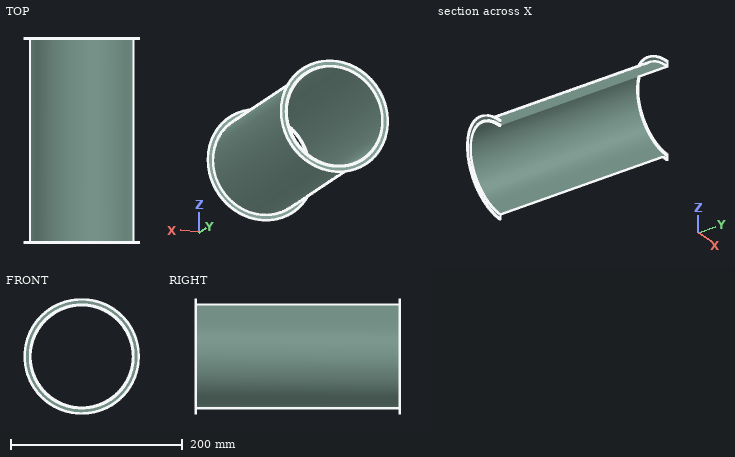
import cadquery as cq

length = 238.0
bore_diameter = 119.0
tube_diameter = 121.0
flange_diameter = 133.0
wall = (tube_diameter - bore_diameter) / 2
flange_thickness = wall


def ring(outer_diameter, start_y, depth):
    """Ring around the Y axis, bored to the tube bore, running toward +Y from start_y."""
    return (
        cq.Workplane("XZ", origin=(0, start_y, 0))
        .circle(outer_diameter / 2)
        .circle(bore_diameter / 2)
        .extrude(-depth)
    )


result = ring(tube_diameter, -length / 2, length)

for flange_start in (-length / 2, length / 2 - flange_thickness):
    result = result.union(ring(flange_diameter, flange_start, flange_thickness))